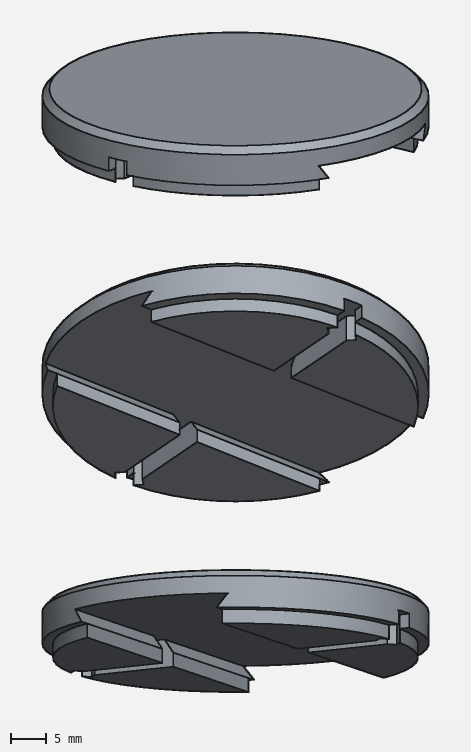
import cadquery as cq

disc_diameter = 54.0
total_height = 7.5
top_chamfer = 1.0

foot_diameter = 51.0
foot_height = 2.0

channel_ceiling = 4.0
dovetail_mouth_width = 21.6
dovetail_ceiling_width = 24.4
cross_slot_width = 3.1

notch_depth = 1.0
notch_center_distance = 24.4


def make_body():
    """Chamfered disc standing on a slightly smaller round foot."""
    disc = (
        cq.Workplane("XY")
        .workplane(offset=foot_height)
        .circle(disc_diameter / 2)
        .extrude(total_height - foot_height)
        .faces(">Z")
        .chamfer(top_chamfer)
    )
    foot = cq.Workplane("XY").circle(foot_diameter / 2).extrude(foot_height)
    return disc.union(foot)


def make_dovetail_channel():
    """Channel along X: straight walls through the foot, flaring out up to the ceiling."""
    half_mouth = dovetail_mouth_width / 2
    half_ceiling = dovetail_ceiling_width / 2
    profile = [
        (-half_mouth, 0),
        (half_mouth, 0),
        (half_mouth, foot_height),
        (half_ceiling, channel_ceiling),
        (-half_ceiling, channel_ceiling),
        (-half_mouth, foot_height),
    ]
    return cq.Workplane("YZ").polyline(profile).close().extrude(disc_diameter / 2, both=True)


def make_cross_slot():
    """Narrow rectangular slot along Y, crossing the whole underside."""
    return cq.Workplane("XY").rect(cross_slot_width, disc_diameter).extrude(channel_ceiling)


def make_slot_notches(side):
    """Square hole set cornerwise over the slot, so 45 degree notches open in both slot walls.

    side is -1 or +1 and picks the slot end in -Y or +Y.
    """
    half_diagonal = cross_slot_width / 2 + notch_depth
    center_y = side * notch_center_distance
    corners = [
        (half_diagonal, center_y),
        (0, center_y + half_diagonal),
        (-half_diagonal, center_y),
        (0, center_y - half_diagonal),
    ]
    return cq.Workplane("XY").polyline(corners).close().extrude(channel_ceiling)


result = make_body().cut(make_dovetail_channel()).cut(make_cross_slot())
for slot_end in (-1, 1):
    result = result.cut(make_slot_notches(slot_end))